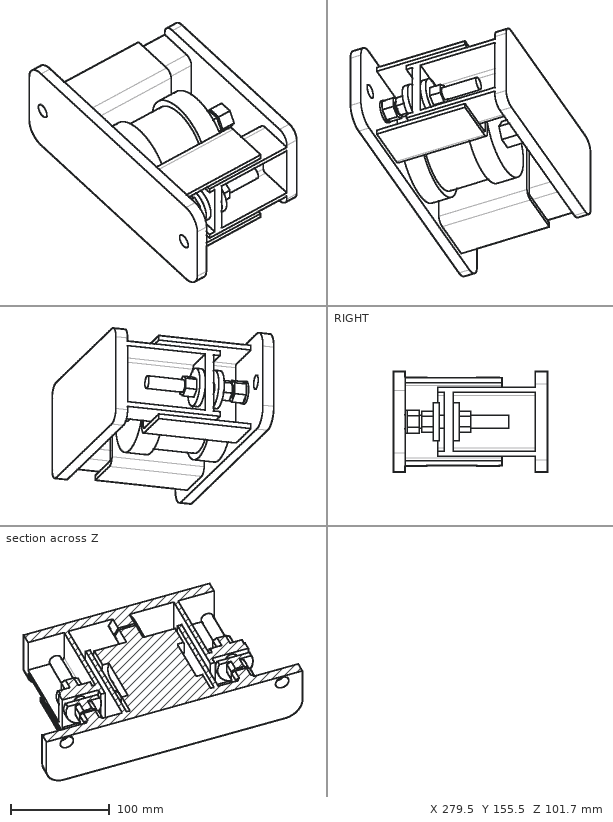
import cadquery as cq


front_width = 279.5
plate_height = 101.7
front_thickness = 11.7
front_corner = 19.3
mount_hole_diameter = 14.2
mount_hole_offset = 117.3
overall_depth = 155.5
rear_width = 203.0
rear_thickness = 12.5
rear_corner = 12.5
rear_face = overall_depth - rear_thickness

channel_wall = 5.0
channel_open_side = rear_width / 2
outer_channel_web = 47.5
outer_channel_radius = 7.8
outer_channel_height = 88.8
outer_channel_end = 109.8
inner_channel_web = 57.3
inner_channel_radius = 8.5
inner_channel_height = 69.8
inner_channel_front = 44.7

divider_start = 51.5
divider_thickness = 9.0
divider_end = divider_start + divider_thickness

collar_diameter = 90.0
body_diameter = 76.8
front_collar_end = 33.5
rear_collar_start = 84.0
rear_collar_end = 107.0
center_rod_diameter = 15.5
center_nut_across_corners = 27.7
center_nut_gap = 2.0
center_nut_end = 126.5

rod_offset = 82.7
rod_diameter = 12.9
rod_end = 116.2
washer_diameter = 38.5
washer_thickness = 6.0
front_washer_start = 40.2
nut_across_corners = 21.2
nut_length = 11.7
head_across_corners = 23.2
head_start = 14
head_end = 26.0


def plate(width, thickness, corner, start):
    """Upright plate with rounded corners, growing along +Y from start."""
    block = cq.Workplane("XY").box(width, thickness, plate_height, centered=(True, False, True))
    return block.edges("|Y").fillet(corner).translate((0, start, 0))


def disc(diameter, start, end, x=0):
    """Round bar along Y."""
    base = cq.Workplane("XZ", origin=(x, start, 0))
    return base.circle(diameter / 2).extrude(start - end)


def hexagon(across_corners, start, end, x=0, turn=0):
    """Hexagonal bar along Y; turn = 0 puts two corners on the X direction."""
    base = cq.Workplane("XZ", origin=(x, start, 0)).transformed(rotate=(0, 0, turn))
    return base.polygon(6, across_corners).extrude(start - end)


def channel(web, height, radius, start, end):
    """C-section on the +X side with its web facing the cylinder."""
    width = channel_open_side - web
    length = end - start
    outside = cq.Workplane("XY").box(width, length, height, centered=(False, False, True))
    outside = outside.edges("|Y and <X").fillet(radius)
    inside = cq.Workplane("XY").box(
        width - channel_wall, length, height - 2 * channel_wall, centered=(False, False, True)
    )
    inside = inside.edges("|Y and <X").fillet(radius - channel_wall)
    return outside.cut(inside.translate((channel_wall, 0, 0))).translate((web, start, 0))


def divider():
    """Plate across the inner channel, sunk half a wall into its web and flanges."""
    start_x = inner_channel_web + channel_wall / 2
    return cq.Workplane("XY").box(
        channel_open_side - start_x,
        divider_thickness,
        inner_channel_height - channel_wall,
        centered=(False, False, True),
    ).translate((start_x, divider_start, 0))


def side_rod():
    """Bolt through the divider with its flanged head, nuts and washers."""
    washer_end = divider_end + washer_thickness
    rod = disc(rod_diameter, front_thickness, rod_end, rod_offset)
    rod = rod.union(disc(head_across_corners, front_thickness, head_start, rod_offset))
    rod = rod.union(hexagon(head_across_corners, head_start, head_end, rod_offset, 90))
    for washer_start in (front_washer_start, divider_end):
        rod = rod.union(
            disc(washer_diameter, washer_start, washer_start + washer_thickness, rod_offset)
        )
    for nut_start in (front_washer_start - nut_length, washer_end):
        rod = rod.union(
            hexagon(nut_across_corners, nut_start, nut_start + nut_length, rod_offset, 90)
        )
    return rod


def center_cylinder():
    """Collared cylinder and the two nuts joining it to the rear plate."""
    cylinder = disc(collar_diameter, front_thickness, front_collar_end)
    cylinder = cylinder.union(disc(body_diameter, front_collar_end, rear_collar_start))
    cylinder = cylinder.union(disc(collar_diameter, rear_collar_start, rear_collar_end))
    cylinder = cylinder.union(disc(center_rod_diameter, rear_collar_end, rear_face))
    cylinder = cylinder.union(hexagon(center_nut_across_corners, rear_collar_end, center_nut_end))
    return cylinder.union(
        hexagon(center_nut_across_corners, center_nut_end + center_nut_gap, rear_face)
    )


front_plate = plate(front_width, front_thickness, front_corner, 0)
mount_holes = cq.Workplane("XZ").pushPoints([(-mount_hole_offset, 0), (mount_hole_offset, 0)])
front_plate = front_plate.cut(mount_holes.circle(mount_hole_diameter / 2).extrude(-front_thickness))
rear_plate = plate(rear_width, rear_thickness, rear_corner, rear_face)

outer_channel = channel(
    outer_channel_web, outer_channel_height, outer_channel_radius, front_thickness, outer_channel_end
)
inner_channel = channel(
    inner_channel_web, inner_channel_height, inner_channel_radius, inner_channel_front, rear_face
)
side = outer_channel.union(inner_channel).union(divider()).union(side_rod())

result = front_plate.union(rear_plate).union(center_cylinder())
result = result.union(side).union(side.mirror("YZ"))